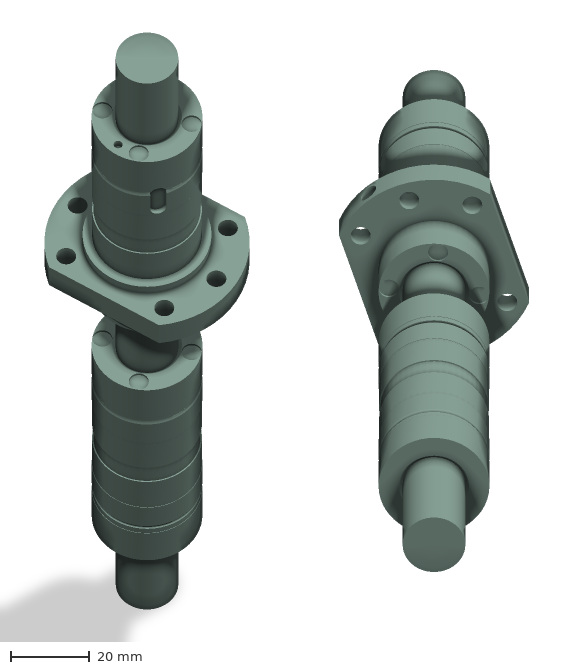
import cadquery as cq
import math

SHAFT_LENGTH = 230.0
SHAFT_DIAMETER = 15.9

LOWER_NUT_BASE = 30.1
UPPER_NUT_BASE = 130.0
NUT_LENGTH = 74.3
NUT_DIAMETER = 28.0
BODY_DIAMETER = 27.8
WAIST_DIAMETER = 27.1
WAIST_LENGTH = 6.2
SHOULDER_INSET = 23.0
CAP_LENGTH = 11.7
LIP_DIAMETER = 27.8
SEAL_INSET = 13.5
UNDERCUT_DEPTH = 0.7
CONE_LENGTH = 1.4
BORE_CHAMFER = 1.0

RECESS_COUNT = 4
RECESS_CIRCLE_RADIUS = 11.5
RECESS_DIAMETER = 5.0
RECESS_DEPTH = 0.7
RECESS_ANGLE = 22.5

PIN_HOLE_DIAMETER = 2.3
PIN_HOLE_DEPTH = 2.3
PIN_HOLE_CIRCLE_RADIUS = 11.3
UPPER_PIN_HOLE_ANGLE = 262.5
LOWER_PIN_HOLE_ANGLE = 142.5

FLANGE_DIAMETER = 52.0
FLANGE_WIDTH = 40.0
FLANGE_THICKNESS = 7.8
COLLAR_DIAMETER = 32.7
COLLAR_HEIGHT = 3.5
COLLAR_FILLET = 0.7
MOUNT_HOLE_DIAMETER = 5.0
MOUNT_CIRCLE_RADIUS = 21.0
MOUNT_HOLE_ANGLES = (0, 45, 135, 180, 225, 315)
OIL_PORT_DIAMETER = 5.0
OIL_PORT_ANGLE = 157.5

KEYWAY_ANGLE = -45
KEYWAY_LENGTH = 10.8
KEYWAY_WIDTH = 4.1
KEYWAY_DEPTH = 1.4
KEYWAY_INSET = 17.5


def polar(radius, angle):
    """Return the XY point at a radius and an angle in degrees."""
    turn = math.radians(angle)
    return (radius * math.cos(turn), radius * math.sin(turn))


def make_shaft():
    return cq.Workplane("XY").circle(SHAFT_DIAMETER / 2).extrude(SHAFT_LENGTH)


def sleeve_blank():
    """Revolve a nut without its recesses, its middle at Z = 0."""
    top = NUT_LENGTH / 2
    bore = SHAFT_DIAMETER / 2
    outer = NUT_DIAMETER / 2
    body = BODY_DIAMETER / 2
    waist = WAIST_DIAMETER / 2
    lip = LIP_DIAMETER / 2
    waist_z = WAIST_LENGTH / 2
    shoulder_z = top - SHOULDER_INSET
    undercut_z = top - SEAL_INSET
    upper_profile = [
        (waist, waist_z),
        (body, waist_z),
        (body, shoulder_z),
        (outer, shoulder_z),
        (outer, undercut_z - CONE_LENGTH),
        (outer - UNDERCUT_DEPTH, undercut_z),
        (lip, undercut_z),
        (lip, top - CAP_LENGTH),
        (outer, top - CAP_LENGTH),
        (outer, top),
        (bore + BORE_CHAMFER, top),
        (bore, top - BORE_CHAMFER),
    ]
    lower_profile = [(radius, -z) for radius, z in reversed(upper_profile)]
    profile = cq.Workplane("XZ").polyline(lower_profile + upper_profile).close()
    return profile.revolve(360, (0, 0, 0), (0, 1, 0))


def ring_recesses(top, start_angle):
    """Cutters for a ring of round recesses that reach down from the given height."""
    step = 360 / RECESS_COUNT
    points = [polar(RECESS_CIRCLE_RADIUS, start_angle + step * i) for i in range(RECESS_COUNT)]
    floor = cq.Workplane("XY").workplane(offset=top - RECESS_DEPTH)
    return floor.pushPoints(points).circle(RECESS_DIAMETER / 2).extrude(RECESS_DEPTH)


def pin_hole(angle):
    """Cutter for the small blind hole in the top end face of a nut."""
    floor = cq.Workplane("XY").workplane(offset=NUT_LENGTH / 2 - PIN_HOLE_DEPTH)
    center = polar(PIN_HOLE_CIRCLE_RADIUS, angle)
    return floor.pushPoints([center]).circle(PIN_HOLE_DIAMETER / 2).extrude(PIN_HOLE_DEPTH)


def make_sleeve(pin_hole_angle):
    """Build a nut with everything but the recesses in its bottom end face."""
    top = NUT_LENGTH / 2
    inner_recesses = ring_recesses(top - SEAL_INSET, -RECESS_ANGLE)
    return (
        sleeve_blank()
        .cut(inner_recesses)
        .cut(inner_recesses.mirror("XY"))
        .cut(ring_recesses(top, RECESS_ANGLE))
        .cut(pin_hole(pin_hole_angle))
    )


def make_flange():
    """Build the flange and its filleted collar around the upper nut, its underside at Z = 0."""
    blank = cq.Workplane("XY").circle(FLANGE_DIAMETER / 2).extrude(FLANGE_THICKNESS)
    flats = cq.Workplane("XY").rect(FLANGE_DIAMETER, FLANGE_WIDTH).extrude(FLANGE_THICKNESS)
    collar = cq.Workplane("XY").circle(COLLAR_DIAMETER / 2).extrude(FLANGE_THICKNESS + COLLAR_HEIGHT)
    flange = blank.intersect(flats).union(collar)
    collar_edges = flange.edges("%CIRCLE").edges(cq.selectors.RadiusNthSelector(0))
    flange = collar_edges.edges("<Z").fillet(COLLAR_FILLET)
    holes = (
        cq.Workplane("XY")
        .pushPoints([polar(MOUNT_CIRCLE_RADIUS, angle) for angle in MOUNT_HOLE_ANGLES])
        .circle(MOUNT_HOLE_DIAMETER / 2)
        .extrude(FLANGE_THICKNESS)
    )
    core = cq.Workplane("XY").circle(WAIST_DIAMETER / 2).extrude(FLANGE_THICKNESS + COLLAR_HEIGHT)
    return flange.cut(holes).cut(core)


def oil_port():
    """Cutter for the radial port from the rim of the flange to the bore."""
    height = UPPER_NUT_BASE + CAP_LENGTH + FLANGE_THICKNESS / 2
    return (
        cq.Workplane("YZ")
        .center(0, height)
        .circle(OIL_PORT_DIAMETER / 2)
        .extrude(FLANGE_DIAMETER / 2)
        .rotate((0, 0, 0), (0, 0, 1), OIL_PORT_ANGLE)
    )


def keyway():
    """Cutter for the round-ended keyway near the top of the upper nut."""
    return (
        cq.Workplane("YZ")
        .workplane(offset=NUT_DIAMETER / 2 - KEYWAY_DEPTH)
        .center(0, UPPER_NUT_BASE + NUT_LENGTH - KEYWAY_INSET)
        .slot2D(KEYWAY_LENGTH, KEYWAY_WIDTH, 90)
        .extrude(KEYWAY_DEPTH)
        .rotate((0, 0, 0), (0, 0, 1), KEYWAY_ANGLE)
    )


def make_plain_nut():
    """Build the lower nut, a plain sleeve."""
    return make_sleeve(LOWER_PIN_HOLE_ANGLE).translate((0, 0, LOWER_NUT_BASE + NUT_LENGTH / 2))


def make_flanged_nut():
    """Build the upper nut with its flange, keyway and recesses in both end faces."""
    bottom_recesses = ring_recesses(NUT_LENGTH / 2, RECESS_ANGLE).mirror("XY")
    sleeve = make_sleeve(UPPER_PIN_HOLE_ANGLE).cut(bottom_recesses)
    sleeve = sleeve.translate((0, 0, UPPER_NUT_BASE + NUT_LENGTH / 2))
    flange = make_flange().translate((0, 0, UPPER_NUT_BASE + CAP_LENGTH))
    return sleeve.union(flange).cut(keyway()).cut(oil_port())


shaft = make_shaft()
plain_nut = make_plain_nut()
flanged_nut = make_flanged_nut()

bodies = [shaft, plain_nut, flanged_nut]
result = cq.Compound.makeCompound([body.solids().val() for body in bodies])